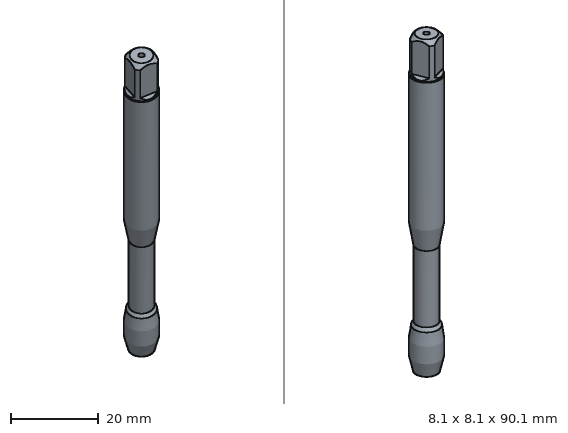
import cadquery as cq

total_length = 90.1
body_diameter = 8.1
neck_diameter = 5.95
bore_diameter = 1.4

head_length = 13.15
tip_diameter = 6.3
lead_length = 4.0
land_top = 8.65
shoulder_height = 12.2
shoulder_diameter = 7.1
back_top_height = 12.9
back_top_diameter = 6.2

taper_bottom = 33.6
taper_bottom_diameter = 6.1
taper_edge_height = 0.2
taper_top = 39.7

drive_diameter = 7.75
drive_width = 6.3
drive_flat_bottom = 80.4
drive_top_diameter = 5.4
collar_top = 79.5

body_radius = body_diameter / 2
drive_radius = drive_diameter / 2
collar_chamfer = body_radius - drive_radius
drive_top_chamfer = drive_radius - drive_top_diameter / 2
bore_radius = bore_diameter / 2


def revolved(profile):
    """Turn a closed (radius, height) outline about the Z axis."""
    return cq.Workplane("XZ").polyline(profile).close().revolve(360, (0, 0, 0), (0, 1, 0))


def make_head():
    """Bored head with a tapered lead, a straight land and a tapered back."""
    return revolved([
        (bore_radius, 0),
        (tip_diameter / 2, 0),
        (body_radius, lead_length),
        (body_radius, land_top),
        (shoulder_diameter / 2, shoulder_height),
        (back_top_diameter / 2, back_top_height),
        (neck_diameter / 2, head_length),
        (bore_radius, head_length),
    ])


def make_flat_cutter():
    """Wedge that cuts one drive flat on +X, with a 45 degree run-out at its lower end."""
    flat = drive_width / 2
    reach = body_diameter
    run_out = reach - flat
    outline = [
        (flat, drive_flat_bottom),
        (reach, drive_flat_bottom - run_out),
        (reach, total_length),
        (flat, total_length),
    ]
    return cq.Workplane("XZ").polyline(outline).close().extrude(body_radius, both=True)


def make_shank():
    """Bored neck, taper and shank, ending in a square drive with rounded corners."""
    shank = revolved([
        (bore_radius, head_length),
        (neck_diameter / 2, head_length),
        (neck_diameter / 2, taper_bottom),
        (taper_bottom_diameter / 2, taper_bottom + taper_edge_height),
        (body_radius, taper_top),
        (body_radius, collar_top - collar_chamfer),
        (drive_radius, collar_top),
        (drive_radius, total_length - drive_top_chamfer),
        (drive_top_diameter / 2, total_length),
        (bore_radius, total_length),
    ])
    flat_cutter = make_flat_cutter()
    for side in range(4):
        shank = shank.cut(flat_cutter.rotate((0, 0, 0), (0, 0, 1), side * 90))
    return shank


head = make_head()
shank = make_shank()

result = cq.Compound.makeCompound([head.val(), shank.val()])